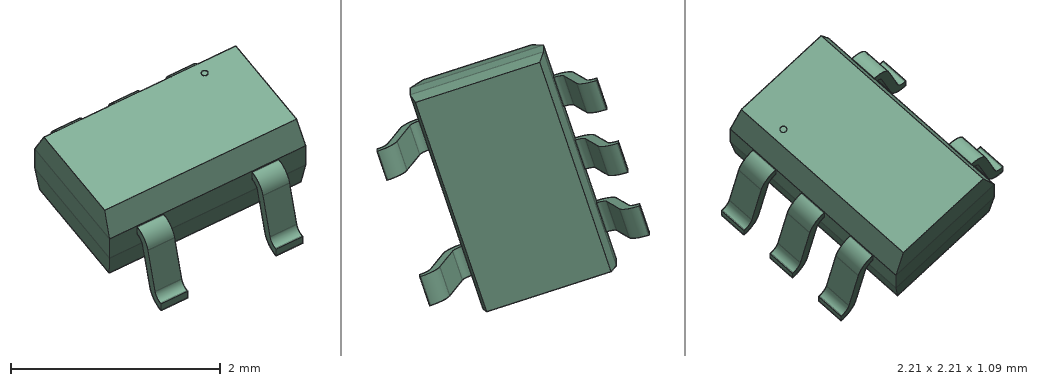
import cadquery as cq
import math

span_x = 2.21
body_length = 2.21
total_height = 1.09

body_width = 1.341
standoff = 0.25
layer_height = (total_height - standoff) / 3
top_inset_x = 0.125
bottom_inset_x = 0.046
end_inset_y = 0.025

lead_thickness = 0.1
lead_width = 0.3
lead_pitch = 0.648
lead_top = 0.798
bend_angle = math.radians(75)
inner_radius = 0.1
outer_radius = inner_radius + lead_thickness
foot_flat = 0.01

marker_diameter = 0.066
marker_depth = 0.01
marker_x = -0.413
marker_y = lead_pitch


def make_taper(base_z, end_z, inset_x):
    """Loft from the full housing outline at base_z to a smaller one at end_z."""
    return (
        cq.Workplane("XY")
        .workplane(offset=base_z)
        .rect(body_width, body_length)
        .workplane(offset=end_z - base_z)
        .rect(body_width - 2 * inset_x, body_length - 2 * end_inset_y)
        .loft(ruled=True)
    )


def make_marker():
    return (
        cq.Workplane("XY")
        .workplane(offset=total_height - marker_depth)
        .center(marker_x, marker_y)
        .circle(marker_diameter / 2)
        .extrude(marker_depth)
    )


def make_housing():
    band_bottom = standoff + layer_height
    band_top = band_bottom + layer_height
    band = (
        cq.Workplane("XY")
        .workplane(offset=band_bottom)
        .rect(body_width, body_length)
        .extrude(layer_height)
    )
    upper = make_taper(band_top, total_height, top_inset_x)
    lower = make_taper(band_bottom, standoff, bottom_inset_x)
    return band.union(upper).union(lower).cut(make_marker())


def arc_point(center, radius, angle):
    """Point on a circle in the XZ plane, angle measured from +X."""
    return (center[0] + radius * math.cos(angle), center[1] + radius * math.sin(angle))


def make_left_lead(y):
    """Gull-wing lead on the -X side, centred at y and ending on the housing wall."""
    tip_x = -span_x / 2
    wall_x = -body_width / 2

    bend_rise = (inner_radius + outer_radius) * (1 - math.cos(bend_angle))
    bend_run = (inner_radius + outer_radius) * math.sin(bend_angle)
    leg_rise = lead_top - lead_thickness - bend_rise
    leg_run = leg_rise / math.tan(bend_angle)

    foot_center = (tip_x + foot_flat, outer_radius)
    shoulder_center = (foot_center[0] + bend_run + leg_run, lead_top - outer_radius)

    foot_start = -math.pi / 2
    foot_end = foot_start + bend_angle
    foot_middle = foot_start + bend_angle / 2
    shoulder_start = math.pi / 2
    shoulder_end = shoulder_start + bend_angle
    shoulder_middle = shoulder_start + bend_angle / 2

    profile = (
        cq.Workplane("XZ", origin=(0, y + lead_width / 2, 0))
        .moveTo(tip_x, 0)
        .lineTo(*arc_point(foot_center, outer_radius, foot_start))
        .threePointArc(
            arc_point(foot_center, outer_radius, foot_middle),
            arc_point(foot_center, outer_radius, foot_end),
        )
        .lineTo(*arc_point(shoulder_center, inner_radius, shoulder_end))
        .threePointArc(
            arc_point(shoulder_center, inner_radius, shoulder_middle),
            arc_point(shoulder_center, inner_radius, shoulder_start),
        )
        .lineTo(wall_x, lead_top - lead_thickness)
        .lineTo(wall_x, lead_top)
        .lineTo(*arc_point(shoulder_center, outer_radius, shoulder_start))
        .threePointArc(
            arc_point(shoulder_center, outer_radius, shoulder_middle),
            arc_point(shoulder_center, outer_radius, shoulder_end),
        )
        .lineTo(*arc_point(foot_center, inner_radius, foot_end))
        .threePointArc(
            arc_point(foot_center, inner_radius, foot_middle),
            arc_point(foot_center, inner_radius, foot_start),
        )
        .lineTo(tip_x, lead_thickness)
        .close()
    )
    return profile.extrude(lead_width)


def make_leads():
    """Three leads on the -X side and two, at the outer positions, on the +X side."""
    leads = []
    for y in (-lead_pitch, 0, lead_pitch):
        leads.append(make_left_lead(y).solids().val())
    for y in (-lead_pitch, lead_pitch):
        leads.append(make_left_lead(y).mirror("YZ").solids().val())
    return leads


housing = make_housing()
marker = make_marker()
leads = make_leads()

result = cq.Compound.makeCompound([housing.solids().val(), marker.solids().val(), *leads])